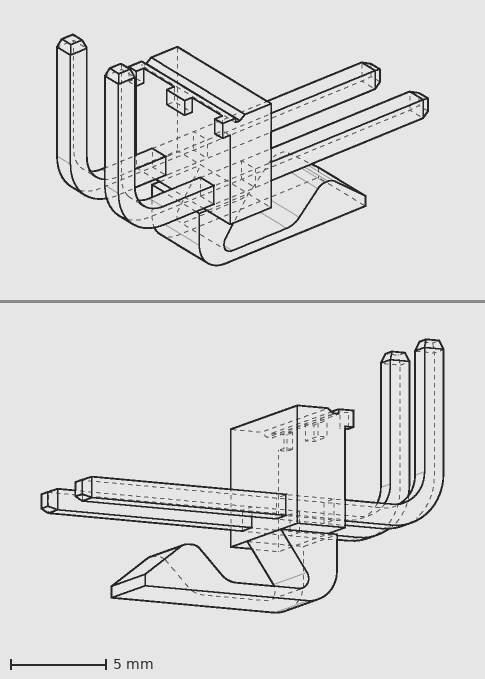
import cadquery as cq


HOUSING_WIDTH = 7.77
HOUSING_DEPTH = 2.8
HOUSING_HEIGHT = 6.3

TAB_REACH = 0.5
TAB_HEIGHT = 0.9
SIDE_TAB_WIDTH = 0.64
MIDDLE_TAB_WIDTH = 1.49

GROOVE_FRONT_Y = 0.38
GROOVE_FLOOR_WIDTH = 0.3
GROOVE_SLOPE_WIDTH = 0.35
GROOVE_DEPTH = 0.25

CLIP_WIDTH = 3.93
CLIP_DROP = 3.7
CLIP_THICKNESS = 0.62
CLIP_END_Y = 10.8
CLIP_ROOT_Y = 0.64
RIDGE_FOOT_Y = 5.95
RIDGE_HEIGHT = 1.82
RIDGE_TOP_WIDTH = 0.72
RIDGE_RADIUS = 0.68
RIDGE_FOOT_RADIUS = 1.2
CLIP_INNER_RADIUS = 0.57
CLIP_OUTER_RADIUS = 1.76

PIN_COUNT = 2
PIN_PITCH = 3.97
PIN_SIZE = 1.12
PIN_BOTTOM_Z = 0.64
PIN_LENGTH_Y = 21.22
PIN_FRONT_Y = -6.5
PIN_LENGTH_Z = 10.15
BEND_INNER_RADIUS = 1.9
BEND_OUTER_RADIUS = BEND_INNER_RADIUS + PIN_SIZE
TIP_LENGTH = 0.49
TIP_SIZE = 0.76

PIN_CENTERS_X = [(i - (PIN_COUNT - 1) / 2) * PIN_PITCH for i in range(PIN_COUNT)]
PIN_CENTER_Z = PIN_BOTTOM_Z + PIN_SIZE / 2


def box(width, y_min, y_max, z_min, z_max, center_x=0):
    """Box centred on center_x, between the given Y and Z limits."""
    size = (width, y_max - y_min, z_max - z_min)
    corner = (center_x - width / 2, y_min, z_min)
    return cq.Workplane("XY").box(*size, centered=False).translate(corner)


def extrude_profile(points, width):
    """Closed (Y, Z) outline extruded symmetrically about X = 0."""
    return cq.Workplane("YZ").polyline(points).close().extrude(width / 2, both=True)


def round_edge(body, y, z, radius):
    """Fillet the edge parallel to X that passes through (y, z)."""
    return body.edges(cq.selectors.NearestToPointSelector((0, y, z))).fillet(radius)


def make_tabs():
    side_x = (HOUSING_WIDTH - SIDE_TAB_WIDTH) / 2
    tab_places = [(-side_x, SIDE_TAB_WIDTH), (0, MIDDLE_TAB_WIDTH), (side_x, SIDE_TAB_WIDTH)]
    return [
        box(width, -TAB_REACH, 0, HOUSING_HEIGHT - TAB_HEIGHT, HOUSING_HEIGHT, x)
        for x, width in tab_places
    ]


def make_groove():
    floor_z = HOUSING_HEIGHT - GROOVE_DEPTH
    floor_back_y = GROOVE_FRONT_Y + GROOVE_FLOOR_WIDTH
    outline = [
        (GROOVE_FRONT_Y, HOUSING_HEIGHT),
        (GROOVE_FRONT_Y, floor_z),
        (floor_back_y, floor_z),
        (floor_back_y + GROOVE_SLOPE_WIDTH, HOUSING_HEIGHT),
    ]
    return extrude_profile(outline, HOUSING_WIDTH)


def make_clip():
    bottom_z = -CLIP_DROP
    arm_z = bottom_z + CLIP_THICKNESS
    ridge_z = arm_z + RIDGE_HEIGHT
    ridge_front_y = RIDGE_FOOT_Y + RIDGE_HEIGHT
    ridge_back_y = ridge_front_y + RIDGE_TOP_WIDTH
    outline = [
        (-TAB_REACH, 0),
        (-TAB_REACH, bottom_z),
        (CLIP_END_Y, bottom_z),
        (CLIP_END_Y, arm_z),
        (ridge_back_y, ridge_z),
        (ridge_front_y, ridge_z),
        (RIDGE_FOOT_Y, arm_z),
        (CLIP_ROOT_Y, arm_z),
        (HOUSING_DEPTH, 0),
    ]
    clip = extrude_profile(outline, CLIP_WIDTH)
    clip = round_edge(clip, -TAB_REACH, bottom_z, CLIP_OUTER_RADIUS)
    clip = round_edge(clip, CLIP_ROOT_Y, arm_z, CLIP_INNER_RADIUS)
    clip = round_edge(clip, RIDGE_FOOT_Y, arm_z, RIDGE_FOOT_RADIUS)
    clip = round_edge(clip, ridge_front_y, ridge_z, RIDGE_RADIUS)
    return round_edge(clip, ridge_back_y, ridge_z, RIDGE_RADIUS)


def make_pin_hole(center_x):
    """Square passage through the housing, matching the pin."""
    return box(PIN_SIZE, 0, HOUSING_DEPTH, PIN_BOTTOM_Z, PIN_BOTTOM_Z + PIN_SIZE, center_x)


def make_housing():
    housing = box(HOUSING_WIDTH, 0, HOUSING_DEPTH, 0, HOUSING_HEIGHT)
    for tab in make_tabs():
        housing = housing.union(tab)
    housing = housing.union(make_clip())
    housing = housing.cut(make_groove())
    for x in PIN_CENTERS_X:
        housing = housing.cut(make_pin_hole(x))
    return housing


def make_tip(plane):
    """Tapered square tip growing along the normal of the plane."""
    return (
        cq.Workplane(plane)
        .rect(PIN_SIZE, PIN_SIZE)
        .workplane(offset=TIP_LENGTH)
        .rect(TIP_SIZE, TIP_SIZE)
        .loft(ruled=True)
    )


def make_pin(center_x):
    back_y = PIN_FRONT_Y + PIN_LENGTH_Y - TIP_LENGTH
    top_z = PIN_BOTTOM_Z + PIN_LENGTH_Z - TIP_LENGTH
    inner_y = PIN_FRONT_Y + PIN_SIZE
    inner_z = PIN_BOTTOM_Z + PIN_SIZE
    outline = [
        (PIN_FRONT_Y, top_z),
        (PIN_FRONT_Y, PIN_BOTTOM_Z),
        (back_y, PIN_BOTTOM_Z),
        (back_y, inner_z),
        (inner_y, inner_z),
        (inner_y, top_z),
    ]
    pin = extrude_profile(outline, PIN_SIZE)
    pin = round_edge(pin, inner_y, inner_z, BEND_INNER_RADIUS)
    pin = round_edge(pin, PIN_FRONT_Y, PIN_BOTTOM_Z, BEND_OUTER_RADIUS)
    back_end = cq.Plane(origin=(0, back_y, PIN_CENTER_Z), xDir=(1, 0, 0), normal=(0, 1, 0))
    top_end = cq.Plane(origin=(0, PIN_FRONT_Y + PIN_SIZE / 2, top_z))
    for plane in (back_end, top_end):
        pin = pin.union(make_tip(plane))
    return pin.translate((center_x, 0, 0))


housing = make_housing()
pins = [make_pin(x) for x in PIN_CENTERS_X]

result = cq.Compound.makeCompound([housing.solids().val(), *[pin.solids().val() for pin in pins]])